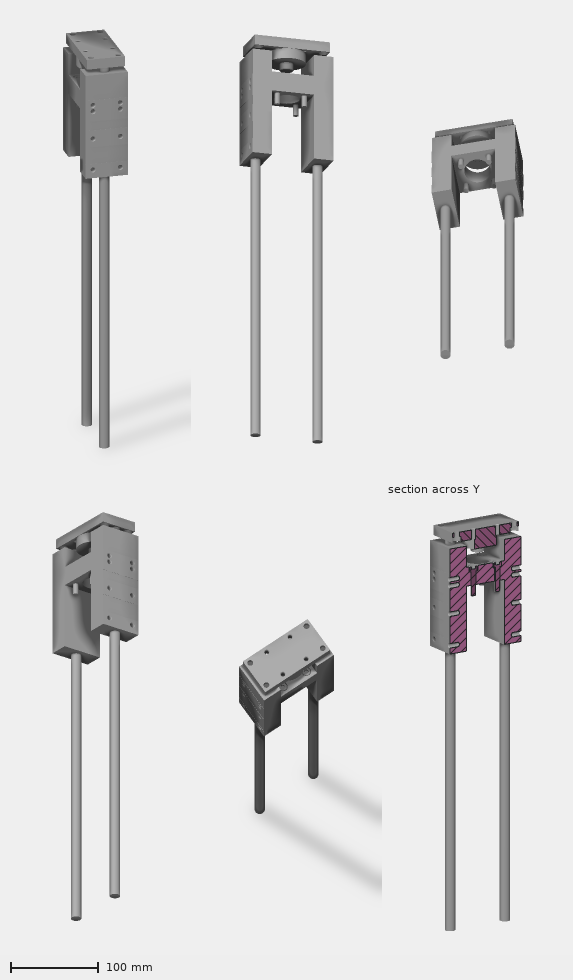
import cadquery as cq

TOTAL_HEIGHT = 475.0
PLATE_THICKNESS = 12.0
PLATE_CLEARANCE = 6.0
HOUSING_HEIGHT = 125.0
PLATE_BOTTOM = TOTAL_HEIGHT - PLATE_THICKNESS
HOUSING_TOP = PLATE_BOTTOM - PLATE_CLEARANCE
HOUSING_BOTTOM = HOUSING_TOP - HOUSING_HEIGHT

HOUSING_LENGTH = 97.0
HOUSING_WIDTH = 50.0
LEG_GAP = 50.5
UPPER_SLOT_DEPTH = 25.0
CROSSBAR_THICKNESS = 23.0
CROSSBAR_TOP = HOUSING_TOP - UPPER_SLOT_DEPTH
CROSSBAR_BOTTOM = CROSSBAR_TOP - CROSSBAR_THICKNESS
CROSSBAR_BORE_DIAMETER = 30.0

RECESS_DEPTH = 0.25
SIDE_RECESSES = [(0, 30.5), (56.0, 67.0), (87.5, 108.0)]

SIDE_HOLE_DEPTH = 12.0
SIDE_HOLE_DROPS = [36.5, 44.0, 77.5, 115.0]

TAPPED_HOLE_DIAMETER = 4.8
TAPPED_MOUTH_DIAMETER = 6.0
DRILL_POINT_RATIO = 0.6

HOLE_PITCH = 32.5

PLATE_LENGTH = 90.0
PLATE_WIDTH = 45.0
FLANGE_DIAMETER = 44.0
FLANGE_THICKNESS = 12.0
STUB_DIAMETER = 15.5
STUB_LENGTH = 8.0
STUB_CHAMFER = 0.5
ROD_DIAMETER = 12.0
ROD_SPACING = 74.0
CORNER_HOLE_SPACING = 78.0

SCREW_DIAMETER = 6.0
SCREW_HEAD_DIAMETER = 10.0
SCREW_HEAD_HEIGHT = 5.5
SCREW_HEAD_CHAMFER = 0.7
SCREW_PROTRUSION = 13.0
SOCKET_DIAMETER = 4.8
SOCKET_DEPTH = 3.0
CLEARANCE_HOLE_DIAMETER = 6.5
COUNTERBORE_DIAMETER = 11.0
COUNTERBORE_DEPTH = 6.0
SCREW_SEAT = CROSSBAR_TOP - COUNTERBORE_DEPTH

SIDES = (-1, 1)
SCREW_POSITIONS = [(x * HOLE_PITCH / 2, y * HOLE_PITCH / 2) for x in SIDES for y in SIDES]
CORNER_POSITIONS = [(x * CORNER_HOLE_SPACING / 2, y * HOLE_PITCH / 2) for x in SIDES for y in SIDES]
ROD_POSITIONS = [(x * ROD_SPACING / 2, 0) for x in SIDES]


def block(length, width, bottom, top):
    """Box centred on the Z axis, between two heights."""
    return cq.Workplane("XY").workplane(offset=bottom).rect(length, width).extrude(top - bottom)


def cylinders(points, diameter, bottom, top):
    """Upright cylinders at the given points, between two heights."""
    plane = cq.Workplane("XY").workplane(offset=bottom)
    return plane.pushPoints(points).circle(diameter / 2).extrude(top - bottom)


def tapped_holes(points, inward, depth):
    """Cutters for countersunk tapped holes with a drill point, running inward from the points."""
    bore_radius = TAPPED_HOLE_DIAMETER / 2
    mouth_radius = TAPPED_MOUTH_DIAMETER / 2
    mouth_depth = mouth_radius - bore_radius
    cutters = []
    for point in points:
        bore = cq.Solid.makeCylinder(bore_radius, depth, cq.Vector(*point), inward)
        mouth = cq.Solid.makeCone(mouth_radius, bore_radius, mouth_depth, cq.Vector(*point), inward)
        bore_end = cq.Vector(*point) + inward * depth
        tip = cq.Solid.makeCone(bore_radius, 0, bore_radius * DRILL_POINT_RATIO, bore_end, inward)
        cutters.append(bore.fuse(mouth, tip))
    return cq.Workplane("XY").newObject([cq.Compound.makeCompound(cutters)])


def side_recess_cutters():
    """Thin slabs that lower bands of both outer side faces."""
    core_length = HOUSING_LENGTH - 2 * RECESS_DEPTH
    cutters = []
    for upper_drop, lower_drop in SIDE_RECESSES:
        bottom = HOUSING_TOP - lower_drop
        top = HOUSING_TOP - upper_drop
        band = block(HOUSING_LENGTH, HOUSING_WIDTH, bottom, top)
        cutters.append(band.cut(block(core_length, HOUSING_WIDTH, bottom, top)))
    return cutters


def side_hole_cutters(side):
    """Tapped holes in one outer side face: side is -1 for the -X face and 1 for the +X face."""
    points = [
        (side * HOUSING_LENGTH / 2, y * HOLE_PITCH / 2, HOUSING_TOP - drop)
        for y in SIDES
        for drop in SIDE_HOLE_DROPS
    ]
    return tapped_holes(points, cq.Vector(-side, 0, 0), SIDE_HOLE_DEPTH)


def make_housing():
    """H-shaped housing with guide bores, a central bore and counterbored screw holes."""
    body = block(HOUSING_LENGTH, HOUSING_WIDTH, HOUSING_BOTTOM, HOUSING_TOP)
    body = body.cut(block(LEG_GAP, HOUSING_WIDTH, CROSSBAR_TOP, HOUSING_TOP))
    body = body.cut(block(LEG_GAP, HOUSING_WIDTH, HOUSING_BOTTOM, CROSSBAR_BOTTOM))
    body = body.cut(cylinders([(0, 0)], CROSSBAR_BORE_DIAMETER, CROSSBAR_BOTTOM, CROSSBAR_TOP))
    body = body.cut(cylinders(ROD_POSITIONS, ROD_DIAMETER, HOUSING_BOTTOM, HOUSING_TOP))
    body = body.cut(cylinders(SCREW_POSITIONS, CLEARANCE_HOLE_DIAMETER, CROSSBAR_BOTTOM, CROSSBAR_TOP))
    body = body.cut(cylinders(SCREW_POSITIONS, COUNTERBORE_DIAMETER, SCREW_SEAT, CROSSBAR_TOP))
    for cutter in side_recess_cutters():
        body = body.cut(cutter)
    for side in SIDES:
        body = body.cut(side_hole_cutters(side))
    return body


def make_plate():
    """Top plate with corner holes counterbored from below and tapped holes from above."""
    counterbore_top = PLATE_BOTTOM + COUNTERBORE_DEPTH
    plate_points = [(x, y, TOTAL_HEIGHT) for x, y in SCREW_POSITIONS]
    plate = block(PLATE_LENGTH, PLATE_WIDTH, PLATE_BOTTOM, TOTAL_HEIGHT)
    plate = plate.cut(cylinders(CORNER_POSITIONS, CLEARANCE_HOLE_DIAMETER, PLATE_BOTTOM, TOTAL_HEIGHT))
    plate = plate.cut(cylinders(CORNER_POSITIONS, COUNTERBORE_DIAMETER, PLATE_BOTTOM, counterbore_top))
    return plate.cut(tapped_holes(plate_points, cq.Vector(0, 0, -1), PLATE_THICKNESS))


def make_moving_frame():
    """Plate with the flange and stub under its middle and the two guide rods."""
    flange_bottom = PLATE_BOTTOM - FLANGE_THICKNESS
    flange = cylinders([(0, 0)], FLANGE_DIAMETER, flange_bottom, PLATE_BOTTOM)
    stub = cylinders([(0, 0)], STUB_DIAMETER, flange_bottom - STUB_LENGTH, flange_bottom)
    stub = stub.faces("<Z").chamfer(STUB_CHAMFER)
    rods = cylinders(ROD_POSITIONS, ROD_DIAMETER, 0, PLATE_BOTTOM)
    return make_plate().union(flange).union(stub).union(rods)


def make_screw(point):
    """Cap screw standing in a crossbar counterbore, its end protruding below."""
    head_top = SCREW_SEAT + SCREW_HEAD_HEIGHT
    shank = cylinders([point], SCREW_DIAMETER, CROSSBAR_BOTTOM - SCREW_PROTRUSION, SCREW_SEAT)
    head = cylinders([point], SCREW_HEAD_DIAMETER, SCREW_SEAT, head_top)
    head = head.faces(">Z").chamfer(SCREW_HEAD_CHAMFER)
    socket = cylinders([point], SOCKET_DIAMETER, head_top - SOCKET_DEPTH, head_top)
    return shank.union(head).cut(socket)


housing = make_housing()
moving_frame = make_moving_frame()
screws = [make_screw(point) for point in SCREW_POSITIONS]

result = cq.Compound.makeCompound([housing.val(), moving_frame.val(), *[screw.val() for screw in screws]])